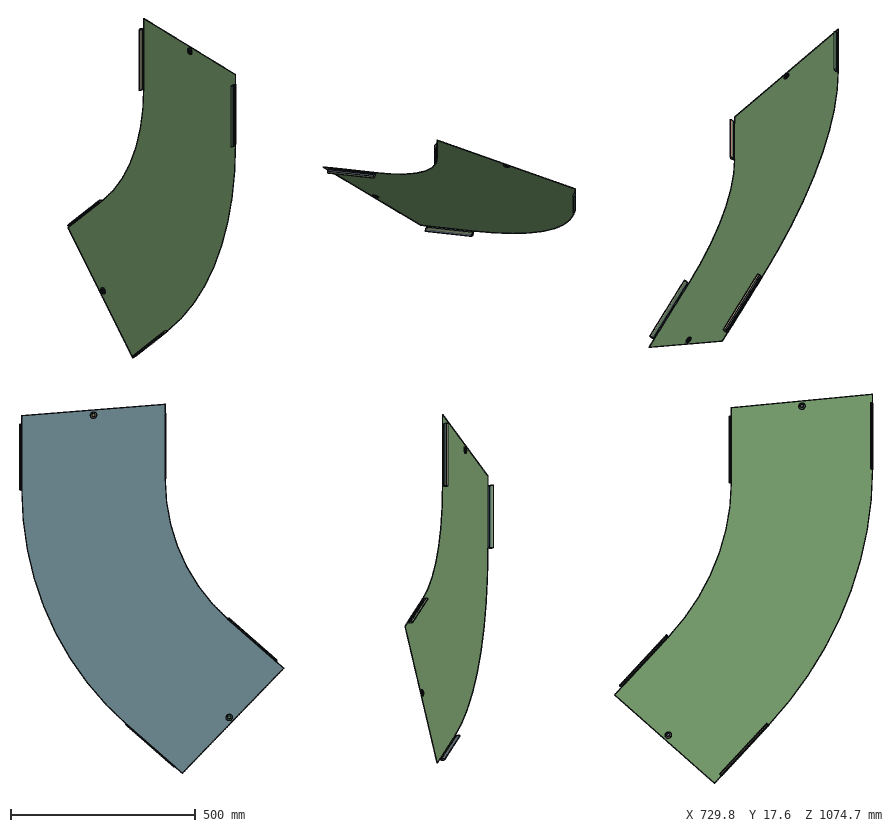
import cadquery as cq
import math

width = 398.0
bend_angle = 45.0
outer_radius = 1000.0
inner_radius = outer_radius - width
overall_height = 1074.75
sheet = 1.0

clip_overhang = 3.18
clip_drop = 16.43
clip_wall = 1.5
clip_length = 185.0
clip_end_gap = 30.0
lip_top = 4.0
lip_chamfer = 4.0
lip_inset = 2.0
lip_extension = 3.0

fastener_inset = 15.0
head_diameter = 18.0
head_height = 1.2
collar_height = 0.2
stub_diameter = 9.0
stub_height = 2.5

bend_sin = math.sin(math.radians(bend_angle))
bend_cos = math.cos(math.radians(bend_angle))
straight = (overall_height - outer_radius * bend_sin) / (1 + bend_sin)



def arc_point(radius, angle):
    """Point on a circle about the bend centre, angle below the X axis."""
    turn = math.radians(angle)
    return (radius * math.cos(turn), -radius * math.sin(turn))


def lower_end_point(radius):
    """Corner of the lower straight end that continues the given arc."""
    x, z = arc_point(radius, bend_angle)
    return (x - straight * bend_sin, z - straight * bend_cos)


def make_plate():
    return (
        cq.Workplane("XZ")
        .moveTo(inner_radius, straight)
        .lineTo(outer_radius, straight)
        .lineTo(outer_radius, 0)
        .threePointArc(arc_point(outer_radius, bend_angle / 2), arc_point(outer_radius, bend_angle))
        .lineTo(*lower_end_point(outer_radius))
        .lineTo(*lower_end_point(inner_radius))
        .lineTo(*arc_point(inner_radius, bend_angle))
        .threePointArc(arc_point(inner_radius, bend_angle / 2), (inner_radius, 0))
        .close()
        .extrude(sheet)
    )


def extruded_profile(points, z_min, length):
    """Prism along Z; the points are measured from the outer edge of the upper end."""
    return (
        cq.Workplane("XY", origin=(outer_radius, 0, z_min))
        .polyline(points)
        .close()
        .extrude(length)
    )


def make_clip(inner_extension, outer_extension):
    """Clip on the outer edge of the upper end: a thin wall with a thick lip.

    The lip runs past the wall by the given extensions, towards the bend and towards the plate end.
    """
    low_end = straight - clip_end_gap - clip_length
    lip_length = clip_length + inner_extension + outer_extension
    wall_half = clip_wall / 2
    wall_profile = [
        (-wall_half, 0),
        (wall_half, 0),
        (wall_half, -clip_drop),
        (-wall_half, -clip_drop),
    ]
    lip_profile = [
        (-wall_half, -lip_top),
        (wall_half, -lip_top),
        (clip_overhang, -lip_top - lip_chamfer),
        (clip_overhang, -clip_drop + lip_chamfer),
        (wall_half, -clip_drop),
        (-wall_half, -clip_drop),
        (-lip_inset, -clip_drop + lip_chamfer),
        (-lip_inset, -lip_top - lip_chamfer),
    ]
    wall = extruded_profile(wall_profile, low_end, clip_length)
    lip = extruded_profile(lip_profile, low_end - inner_extension, lip_length)
    return wall.union(lip)


def make_fastener():
    """Fastener on the centre line of the upper end."""
    x = (inner_radius + outer_radius) / 2
    z = straight - fastener_inset

    def disc(diameter, y_top, height):
        return (
            cq.Workplane("XZ", origin=(x, y_top, z))
            .circle(diameter / 2)
            .extrude(height)
        )

    head = disc(head_diameter, head_height, head_height + sheet + collar_height)
    stub = disc(stub_diameter, -sheet, stub_height)
    return head.union(stub)


def make_end_fittings(clip):
    """The clip on each edge of the upper end, with the fastener between them."""
    centre_x = (inner_radius + outer_radius) / 2
    opposite_clip = clip.mirror("YZ", (centre_x, 0, 0))
    return clip.union(opposite_clip).union(make_fastener())


def place_on_lower_end(fittings):
    return fittings.mirror("XY").rotate((0, 0, 0), (0, 1, 0), bend_angle)


upper_fittings = make_end_fittings(make_clip(lip_extension, 0))
lower_fittings = place_on_lower_end(make_end_fittings(make_clip(0, lip_extension)))

result = make_plate().union(upper_fittings).union(lower_fittings)